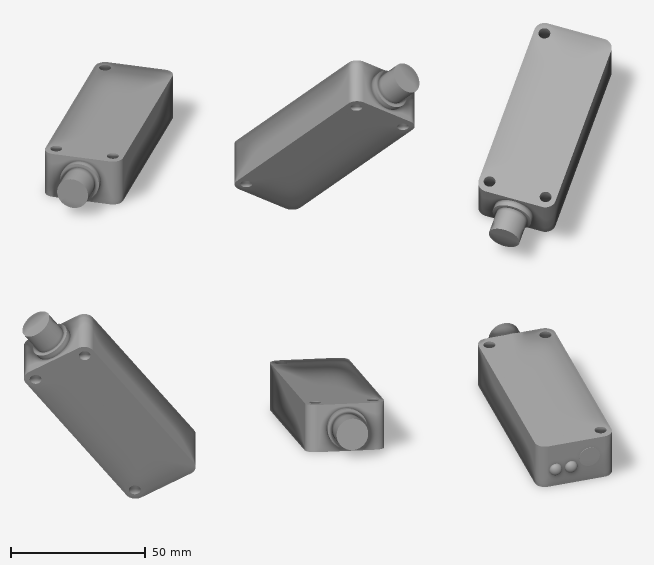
import cadquery as cq

overall_length = 90.0
body_width = 30.0
body_height = 18.0

flange_diameter = 15.0
flange_length = 2.4
pin_diameter = 12.0
connector_length = 12.0

dome_radius = 2.5
dome_height = 2.0
dome_x_positions = (2.1, 8.1)
dome_z = -1.8
cover_diameter = 8.0
cover_thickness = 0.2
cover_x = -5.1
cover_z = 1.2

body_length = overall_length - connector_length - dome_height
corner_radius = 4.0
hole_diameter = 4.4
hole_side_inset = 4.05
hole_end_inset = 4.5

front_y = -body_length / 2
back_y = body_length / 2
hole_x = body_width / 2 - hole_side_inset
hole_y = body_length / 2 - hole_end_inset
hole_centres = [(-hole_x, -hole_y), (hole_x, -hole_y), (-hole_x, hole_y)]


def cylinder_along_y(diameter, y_start, y_end, x=0, z=0):
    """Solid cylinder parallel to Y between two Y positions."""
    start_plane = cq.Plane(origin=(x, y_start, z), xDir=(1, 0, 0), normal=(0, 1, 0))
    return cq.Workplane(start_plane).circle(diameter / 2).extrude(y_end - y_start)


def make_housing():
    """Rounded box with through holes in three of its corners."""
    box = cq.Workplane("XY").box(body_width, body_length, body_height)
    rounded = box.edges("|Z").fillet(corner_radius)
    return rounded.faces(">Z").workplane(origin=(0, 0, 0)).pushPoints(hole_centres).hole(hole_diameter)


def make_connector():
    """Flange and pin; both start in the middle of the housing so that they fuse with it."""
    flange = cylinder_along_y(flange_diameter, 0, front_y - flange_length)
    pin = cylinder_along_y(pin_diameter, 0, front_y - connector_length)
    return flange.union(pin)


def make_dome(x):
    """Sphere sunk into the back face so that only a cap stands out."""
    centre_y = back_y + dome_height - dome_radius
    return cq.Workplane("XY").sphere(dome_radius).translate((x, centre_y, dome_z))


def make_cover():
    """Thin round cover standing slightly proud of the back face."""
    return cylinder_along_y(cover_diameter, back_y, back_y + cover_thickness, cover_x, cover_z)


result = make_housing().union(make_connector()).union(make_cover())
for dome_x in dome_x_positions:
    result = result.union(make_dome(dome_x))